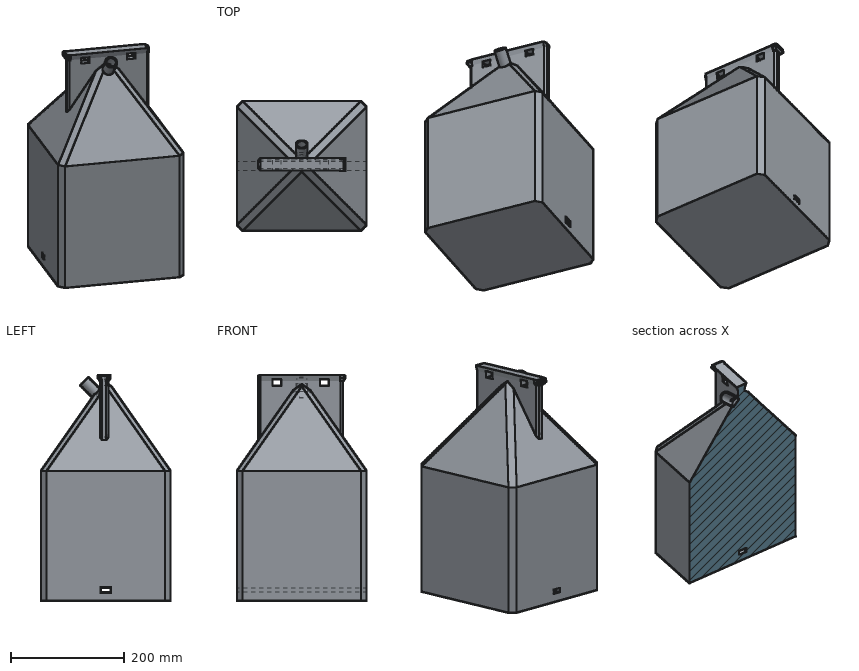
import cadquery as cq
import math

body_width = 230.0
wall_height = 230.0
corner_cut = 10.3
roof_angle = 55.0
roof_slope = math.tan(math.radians(roof_angle))
half_width = body_width / 2
full_roof_height = half_width * roof_slope

total_height = 399.77
plate_length = 150.0
plate_thickness = 15.0
plate_corner_cut = 4.0
plate_x = -2.0
plate_y = 2.75
plate_left = plate_x - plate_length / 2
plate_bottom = wall_height + 5.0

cap_height = 11.0
cap_width = 22.0
cap_bottom = total_height - cap_height
cap_end_drop = 1.4

stop_left = 67.5
stop_right = 77.0
stop_width = 23.0
stop_rim_height = 5.5
stop_foot_right = 73.5
stop_corner_cut = 2.0
stop_end_bevel = 2.7
stop_back_bevel = 1.9
stop_bevel_drop = 1.4

window_width = 15.0
window_spacing = 84.0
window_bottom = 380.8
window_height = 10.6
window_ceiling_rise = 1.4

pipe_outer_diameter = 21.0
pipe_bore_diameter = 17.0
pipe_tilt = 45.0
pipe_end_y = 38.0
pipe_end_z = 388.7
pipe_length = 34.0

slot_width = 16.0
slot_height = 7.6
slot_z = 19.4
mouth_flare = 1.7
mouth_depth = 1.5


def make_body():
    tower = cq.Workplane("XY").rect(body_width, body_width).extrude(wall_height)
    tower = tower.edges("|Z").chamfer(corner_cut)

    gable_points = [(-half_width, 0), (half_width, 0), (0, full_roof_height)]
    gable_x = cq.Workplane("XZ").polyline(gable_points).close().extrude(half_width, both=True)
    gable_y = gable_x.rotate((0, 0, 0), (0, 0, 1), 90)

    hip_reach = (body_width - corner_cut) / math.sqrt(2)
    hip_height = (half_width - corner_cut / 2) * roof_slope
    hip_points = [(-hip_reach, 0), (hip_reach, 0), (0, hip_height)]
    hip_x = cq.Workplane("XZ").polyline(hip_points).close().extrude(body_width, both=True)
    hip_x = hip_x.rotate((0, 0, 0), (0, 0, 1), 45)
    hip_y = hip_x.rotate((0, 0, 0), (0, 0, 1), 90)

    roof = gable_x.intersect(gable_y).intersect(hip_x).intersect(hip_y)
    return tower.union(roof.translate((0, 0, wall_height)))


def plate_outline(length, width):
    """Points of a rectangle with its four corners cut."""
    x = length / 2
    y = width / 2
    c = plate_corner_cut
    return [
        (-x, -y + c), (-x + c, -y), (x - c, -y), (x, -y + c),
        (x, y - c), (x - c, y), (-x + c, y), (-x, y - c),
    ]


def make_plate():
    base = cq.Workplane("XY", origin=(plate_x, plate_y, plate_bottom))
    web = base.polyline(plate_outline(plate_length, plate_thickness)).close()
    web = web.extrude(cap_bottom - plate_bottom)

    cap = (
        cq.Workplane("XY", origin=(plate_x, plate_y, cap_bottom))
        .polyline(plate_outline(plate_length, plate_thickness)).close()
        .workplane(offset=cap_height)
        .polyline(plate_outline(plate_length, cap_width)).close()
        .loft(ruled=True)
    )
    end_slope = (
        cq.Workplane("XZ")
        .moveTo(plate_left, total_height - cap_end_drop)
        .lineTo(plate_left + plate_corner_cut, total_height)
        .lineTo(plate_left, total_height)
        .close()
        .extrude(body_width, both=True)
    )
    hanger = web.union(cap.cut(end_slope)).union(make_stop())
    return hanger.cut(make_stop_bevels())


def make_stop():
    center_x = (stop_left + stop_right) / 2
    foot_length = stop_foot_right - stop_left
    flare_height = cap_height - stop_rim_height
    foot = (
        cq.Workplane("XY", origin=((stop_left + stop_foot_right) / 2, plate_y, cap_bottom))
        .rect(foot_length, plate_thickness)
        .workplane(offset=flare_height)
        .center(center_x - (stop_left + stop_foot_right) / 2, 0)
        .rect(stop_right - stop_left, stop_width)
        .loft(ruled=True)
    )
    rim = (
        cq.Workplane("XY", origin=(center_x, plate_y, cap_bottom + flare_height))
        .rect(stop_right - stop_left, stop_width)
        .extrude(stop_rim_height)
        .edges("|Z and >X")
        .chamfer(stop_corner_cut)
    )
    return foot.union(rim)


def make_stop_bevels():
    """Cutters that bevel the top of the stop along its +X and +Y sides."""
    low = total_height - stop_bevel_drop
    stop_back = plate_y + stop_width / 2
    end_bevel = (
        cq.Workplane("XZ")
        .moveTo(stop_right - stop_end_bevel, total_height)
        .lineTo(stop_right, low)
        .lineTo(stop_right, total_height)
        .close()
        .extrude(body_width, both=True)
    )
    back_bevel = (
        cq.Workplane("YZ", origin=(stop_left, 0, 0))
        .moveTo(stop_back - stop_back_bevel, total_height)
        .lineTo(stop_back, low)
        .lineTo(stop_back, total_height)
        .close()
        .extrude(stop_right - stop_left)
    )
    return end_bevel.union(back_bevel)


def make_window(center_x):
    """Cutter whose ceiling rises toward the front face."""
    front_y = plate_y - cap_width
    back_y = plate_y + cap_width
    low_ceiling = window_bottom + window_height
    front_face = plate_y - plate_thickness / 2
    return (
        cq.Workplane("YZ", origin=(center_x, 0, 0))
        .moveTo(front_y, window_bottom)
        .lineTo(back_y, window_bottom)
        .lineTo(back_y, low_ceiling)
        .lineTo(plate_y, low_ceiling)
        .lineTo(front_face, low_ceiling + window_ceiling_rise)
        .lineTo(front_y, low_ceiling + window_ceiling_rise)
        .close()
        .extrude(window_width / 2, both=True)
    )


def make_pipe_cylinder(diameter):
    tilt = math.radians(pipe_tilt)
    inward = cq.Vector(0, -math.sin(tilt), -math.cos(tilt))
    mouth = cq.Vector(0, pipe_end_y, pipe_end_z)
    return cq.Workplane(cq.Solid.makeCylinder(diameter / 2, pipe_length, mouth, inward))


def make_slot():
    slot = cq.Workplane("XY").box(body_width, slot_width, slot_height)
    mouth = (
        cq.Workplane("YZ", origin=(-half_width, 0, 0))
        .rect(slot_width + 2 * mouth_flare, slot_height + 2 * mouth_flare)
        .workplane(offset=mouth_depth)
        .rect(slot_width, slot_height)
        .loft(ruled=True)
    )
    return slot.union(mouth).translate((0, 0, slot_z))


plate = make_plate()
for side in (-1, 1):
    plate = plate.cut(make_window(plate_x + side * window_spacing / 2))

result = make_body().union(plate)
result = result.union(make_pipe_cylinder(pipe_outer_diameter))
result = result.cut(make_pipe_cylinder(pipe_bore_diameter))
result = result.cut(make_slot())